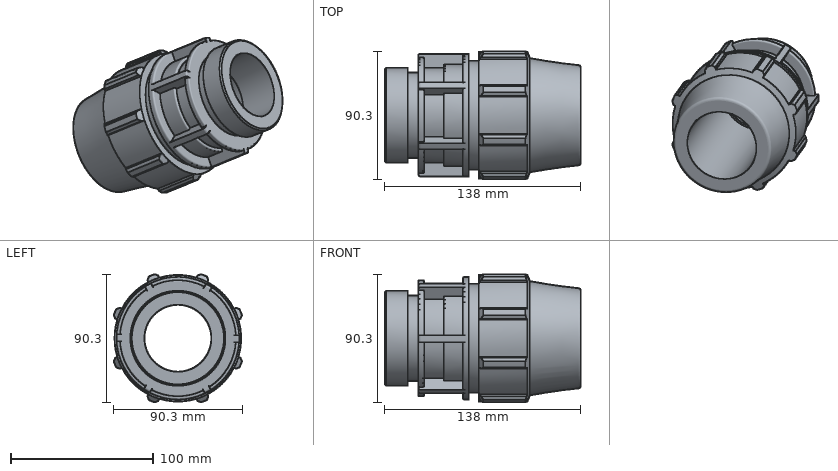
import cadquery as cq

collar_end = 16.3
front_flange_start = 23.5
front_flange_end = 27.6
seat_start = 41.4
rear_flange_start = 54.9
rear_flange_end = 59.0
nut_start = 66.2
nut_end = 102.1
total_length = 138.0

collar_radius = 67.0 / 2
neck_radius = 60.3 / 2
front_flange_radius = 40.8
drum_radius = collar_radius
seat_radius = 35.9
rear_flange_radius = 86.4 / 2
waist_radius = 76.9 / 2
sleeve_start_radius = 40.3
sleeve_end_radius = 35.2
sleeve_hollow = 0.4

collar_chamfer = 1.1
flange_round = 1.0
rear_flange_round = 1.2
seat_round = 1.0
sleeve_end_round = 2.1

bore_radius = 46.9 / 2
socket_radius = 50.0 / 2
socket_start = 29.1

rib_count = 6
rib_width = 4.8
rib_offset = -0.4
rib_end_round = 2.0
back_rib_end_round = 1.2

nut_radius = 89.3 / 2
lug_count = 8
lug_width = 8.3
lug_top = 48.0
lug_chamfer = 2.0
lug_ramp_length = 3.2
nut_cone_length = 3.2


def ring(start, end, radius):
    """Solid disc on the X axis between two stations."""
    return cq.Workplane("YZ", origin=(start, 0, 0)).circle(radius).extrude(end - start)


def revolve_about_x(profile):
    """Solid swept by closing an outline and turning it around the X axis."""
    return profile.close().revolve(360, (0, 0, 0), (1, 0, 0))


def around_axis(solid, count, pitch, first_angle):
    """Union of copies of a solid turned around the X axis in equal steps."""
    copies = cq.Workplane("XY")
    for i in range(count):
        angle = first_angle + i * pitch
        copies = copies.union(solid.rotate((0, 0, 0), (1, 0, 0), angle))
    return copies


def make_body():
    """Turned fitting body from the collar back to the nut."""
    body = ring(0, collar_end, collar_radius).faces("<X").chamfer(collar_chamfer)
    body = body.union(ring(collar_end, front_flange_start, neck_radius))
    body = body.union(
        ring(front_flange_start, front_flange_end, front_flange_radius).edges().fillet(flange_round)
    )
    body = body.union(ring(front_flange_end, seat_start, drum_radius))
    seat = ring(seat_start, rear_flange_start, seat_radius).edges("<X").fillet(seat_round)
    body = body.union(seat)
    rear_flange = ring(rear_flange_start, rear_flange_end, rear_flange_radius)
    body = body.union(rear_flange.edges("<X").fillet(rear_flange_round))
    return body.union(ring(rear_flange_end, nut_start, waist_radius))


def make_rib(end_round):
    """Bar along X that joins the flanges, rounded at its outer front edge."""
    bar_length = rear_flange_end - front_flange_start
    bar = (
        cq.Workplane("XY")
        .box(bar_length, rib_width, rear_flange_radius, centered=(False, True, False))
        .translate((front_flange_start, rib_offset, 0))
    )
    envelope = ring(front_flange_start, rear_flange_end, rear_flange_radius)
    return bar.intersect(envelope.edges("<X").fillet(end_round))


def make_ribs():
    """Evenly spaced ribs; the one on the +Y side has a smaller end rounding."""
    pitch = 360 / rib_count
    back_rib = make_rib(back_rib_end_round).rotate((0, 0, 0), (1, 0, 0), -90)
    ribs = around_axis(make_rib(rib_end_round), rib_count - 1, pitch, pitch - 90)
    return ribs.union(back_rib)


def make_nut():
    """Plain nut with grip lugs, both trimmed by ramp and cone at the ends."""
    half_width = lug_width / 2
    lug = (
        cq.Workplane("YZ", origin=(nut_start, 0, 0))
        .moveTo(-half_width, waist_radius)
        .lineTo(-half_width, lug_top - lug_chamfer)
        .lineTo(-half_width + lug_chamfer, lug_top)
        .lineTo(half_width - lug_chamfer, lug_top)
        .lineTo(half_width, lug_top - lug_chamfer)
        .lineTo(half_width, waist_radius)
        .close()
        .extrude(nut_end - nut_start)
    )
    pitch = 360 / lug_count
    nut = ring(nut_start, nut_end, nut_radius).union(around_axis(lug, lug_count, pitch, pitch / 2))
    envelope = revolve_about_x(
        cq.Workplane("XY")
        .moveTo(nut_start, 0)
        .lineTo(nut_start, nut_radius)
        .lineTo(nut_start + lug_ramp_length, lug_top)
        .lineTo(nut_end - nut_cone_length, lug_top)
        .lineTo(nut_end, sleeve_start_radius)
        .lineTo(nut_end, 0)
    )
    return nut.intersect(envelope)


def make_sleeve():
    """Tapered pipe end with a slightly hollow outline and a rounded rim."""
    middle_x = (nut_end + total_length) / 2
    middle_radius = (sleeve_start_radius + sleeve_end_radius) / 2 - sleeve_hollow
    sleeve = revolve_about_x(
        cq.Workplane("XY")
        .moveTo(nut_end, 0)
        .lineTo(nut_end, sleeve_start_radius)
        .threePointArc((middle_x, middle_radius), (total_length, sleeve_end_radius))
        .lineTo(total_length, 0)
    )
    return sleeve.edges(">X").fillet(sleeve_end_round)


def make_bore():
    """Through bore that steps up to the pipe socket."""
    return ring(0, socket_start, bore_radius).union(ring(socket_start, total_length, socket_radius))


result = make_body().union(make_ribs()).union(make_nut()).union(make_sleeve()).cut(make_bore())